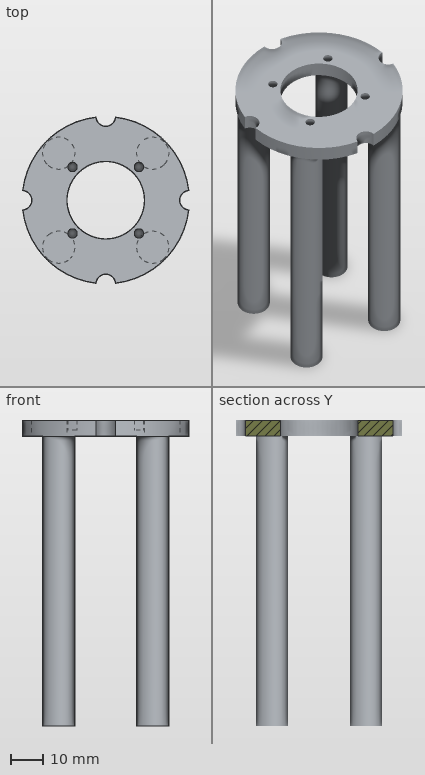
import cadquery as cq
import math

plate_diameter = 52.0
plate_thickness = 5.0
bore_diameter = 24.0

notch_diameter = 6.0
notch_center_radius = plate_diameter / 2

total_height = 95.0
leg_diameter = 10.0
leg_length = total_height - plate_thickness
leg_center_radius = 20.65

hole_diameter = 2.9
hole_depth = 3.0
hole_center_radius = 14.6

feature_count = 4
axis_angle = 0.0
diagonal_angle = 45.0


def ring_points(radius, start_angle):
    """Points evenly spaced on a circle around the Z axis."""
    step = 360.0 / feature_count
    angles = [math.radians(start_angle + i * step) for i in range(feature_count)]
    return [(radius * math.cos(a), radius * math.sin(a)) for a in angles]


def cylinders(points, diameter, bottom, height):
    """Upright cylinders standing on the level `bottom`."""
    return (
        cq.Workplane("XY")
        .workplane(offset=bottom)
        .pushPoints(points)
        .circle(diameter / 2)
        .extrude(height)
    )


def make_plate():
    """Notched ring plate with blind holes; its underside is at the top of the legs."""
    plate = (
        cq.Workplane("XY")
        .workplane(offset=leg_length)
        .circle(plate_diameter / 2)
        .circle(bore_diameter / 2)
        .extrude(plate_thickness)
    )
    notch_points = ring_points(notch_center_radius, axis_angle)
    notches = cylinders(notch_points, notch_diameter, leg_length, plate_thickness)
    hole_points = ring_points(hole_center_radius, diagonal_angle)
    holes = cylinders(hole_points, hole_diameter, total_height - hole_depth, hole_depth)
    return plate.cut(notches).cut(holes)


def make_legs():
    """Four round legs reaching from the base level to the plate."""
    leg_points = ring_points(leg_center_radius, diagonal_angle)
    return cylinders(leg_points, leg_diameter, 0, leg_length)


result = make_plate().union(make_legs())